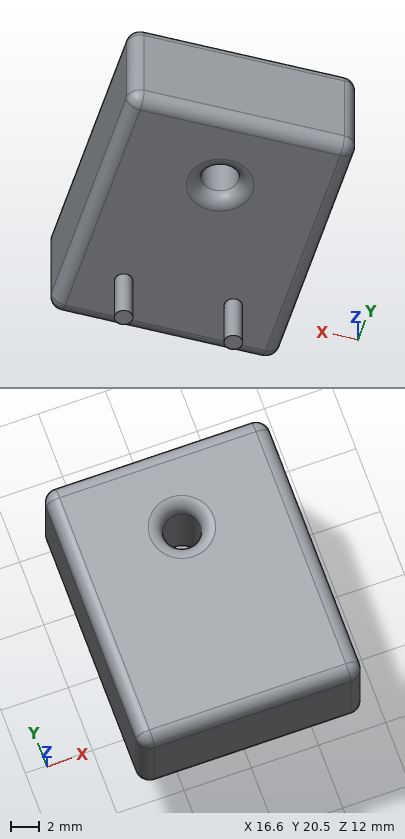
import cadquery as cq

width = 16.6
length = 20.5
overall_height = 12.0
pin_length = 4.0
body_height = overall_height - pin_length
edge_radius = 1.0

hole_diameter = 2.7
hole_y = 4.28

pin_diameter = 1.3
pin_spacing = 8.0
pin_y = -5.99


def make_body():
    """Block standing on Z = 0, with a through hole and every edge rounded."""
    block = cq.Workplane("XY").box(width, length, body_height, centered=(True, True, False))
    hole = cq.Workplane("XY").center(0, hole_y).circle(hole_diameter / 2).extrude(body_height)
    block = block.edges("|Z").fillet(edge_radius)
    return block.cut(hole).faces("<Z or >Z").edges().fillet(edge_radius)


def make_pins():
    """Two round pins hanging from the underside."""
    pin_centers = [(side * pin_spacing / 2, pin_y) for side in (-1, 1)]
    return cq.Workplane("XY").pushPoints(pin_centers).circle(pin_diameter / 2).extrude(-pin_length)


result = make_body().union(make_pins())